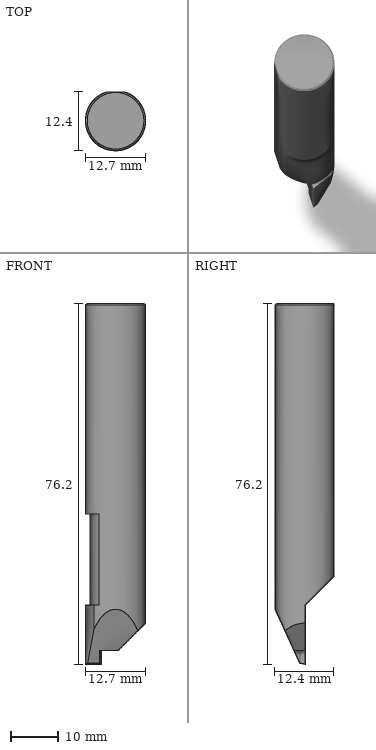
import cadquery as cq
import math

length = 76.2
diameter = 12.7
radius = diameter / 2
depth_across_flat = 12.4
flat_y = depth_across_flat - radius
top_chamfer = 0.4

relief_bottom = 12.5
relief_top = 31.7
relief_edge_x = -3.5
relief_middle_x = -5.4

tip_thickness = 1.1
front_slope_angle = 24.5
back_slope_angle = 45.0
side_clearance_angle = 22.0
end_clearance = 0.2

tooth_width = 3.35
tooth_right_x = -radius + tooth_width
tooth_side_clearance = 0.34
tooth_height = 2.9
heel_x = 0.5
heel_angle = 45.0

margin = 3.8
outside = radius + margin


def prism_along_x(points):
    """Extrude a (y, z) outline through the whole part along X."""
    return cq.Workplane("YZ").polyline(points).close().extrude(outside, both=True)


def prism_along_z(points, bottom, top):
    """Extrude an (x, y) outline between two heights."""
    return cq.Workplane("XY", origin=(0, 0, bottom)).polyline(points).close().extrude(top - bottom)


def make_shank():
    bar = cq.Workplane("XY").circle(radius).extrude(length).faces(">Z").chamfer(top_chamfer)
    keep = cq.Workplane("XY").box(2 * outside, outside + flat_y, length, centered=(True, False, False))
    return bar.intersect(keep.translate((0, -outside, 0)))


def relief_cutter():
    edge_y = math.sqrt(radius**2 - relief_edge_x**2)
    return (
        cq.Workplane("XY", origin=(0, 0, relief_bottom))
        .moveTo(relief_edge_x, -edge_y)
        .threePointArc((relief_middle_x, 0), (relief_edge_x, edge_y))
        .lineTo(-outside, edge_y)
        .lineTo(-outside, -edge_y)
        .close()
        .extrude(relief_top - relief_bottom)
    )


def back_cutter():
    """Expose the rake face and slope the bar up behind it."""
    rise = outside * math.tan(math.radians(back_slope_angle))
    return prism_along_x([(0, -margin), (0, relief_bottom), (outside, relief_bottom + rise), (outside, -margin)])


def front_cutter():
    """Slope the -Y side down to the thin tip."""
    rise = (outside - tip_thickness) / math.tan(math.radians(front_slope_angle))
    return prism_along_x([(-tip_thickness, 0), (-outside, rise), (-outside, -margin), (-tip_thickness, -margin)])


def end_clearance_cutter():
    """Tilt the bottom face upward away from the cutting edge."""
    rise = end_clearance * outside / tip_thickness
    return prism_along_x([(0, 0), (-outside, rise), (-outside, -margin), (0, -margin)])


def side_clearance_cutter():
    """Lean the -X face inward away from the cutting edge."""
    inset = outside * math.tan(math.radians(side_clearance_angle))
    points = [(-radius, 0), (-radius + inset, -outside), (-outside, -outside), (-outside, 0)]
    return prism_along_z(points, -margin, relief_bottom)


def heel_cutter():
    rise = (outside - heel_x) * math.tan(math.radians(heel_angle))
    inner_x = tooth_right_x - tooth_side_clearance
    slope = (
        cq.Workplane("XZ")
        .polyline(
            [
                (tooth_right_x, -margin),
                (tooth_right_x, tooth_height),
                (heel_x, tooth_height),
                (outside, tooth_height + rise),
                (outside, -margin),
            ]
        )
        .close()
        .extrude(outside, both=True)
    )
    clearance = prism_along_z(
        [(tooth_right_x, 0), (inner_x, -tip_thickness), (inner_x, -outside), (tooth_right_x, -outside)],
        -margin,
        tooth_height,
    )
    return slope.union(clearance)


result = make_shank().cut(relief_cutter())
for cutter in (
    back_cutter(),
    front_cutter(),
    end_clearance_cutter(),
    side_clearance_cutter(),
    heel_cutter(),
):
    result = result.cut(cutter)